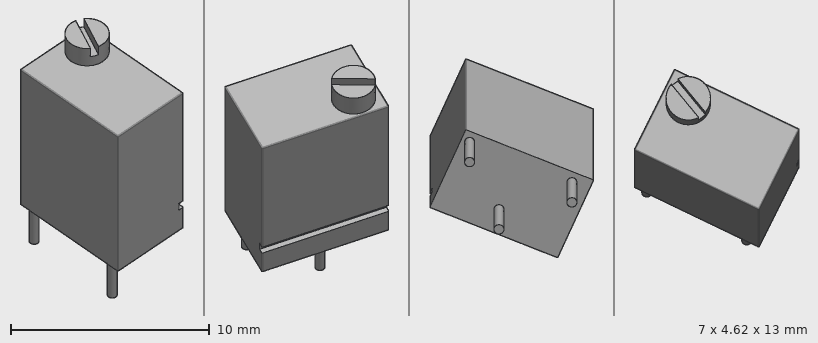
import cadquery as cq

TOTAL_HEIGHT = 13.01

HOUSING_LENGTH = 7.0
HOUSING_WIDTH = 4.62
HOUSING_HEIGHT = 9.24
EDGE_RADIUS = 0.05

GROOVE_HEIGHT = 0.44
GROOVE_DEPTH = 0.3
GROOVE_BOTTOM = 1.39

PIN_DIAMETER = 0.51
PIN_LENGTH = 2.59
PIN_PITCH = 2.8
PIN_ROW_SHIFT = 0.26
FRONT_PIN_INSET = 0.55

SCREW_DIAMETER = 2.24
SCREW_HEIGHT = TOTAL_HEIGHT - PIN_LENGTH - HOUSING_HEIGHT
SCREW_INSET_X = 1.39
SCREW_INSET_Y = 1.26
SLOT_WIDTH = 0.43
SLOT_DEPTH = 0.56
SLOT_ANGLE = -25.0


def make_housing():
    """Box with rounded top and upright edges, grooved across its +Y face."""
    block = (
        cq.Workplane("XY")
        .box(HOUSING_LENGTH, HOUSING_WIDTH, HOUSING_HEIGHT, centered=(True, True, False))
        .edges("|Z or >Z")
        .fillet(EDGE_RADIUS)
    )
    groove = (
        cq.Workplane("XY")
        .box(HOUSING_LENGTH, GROOVE_DEPTH, GROOVE_HEIGHT, centered=(True, False, False))
        .translate((0, HOUSING_WIDTH / 2 - GROOVE_DEPTH, GROOVE_BOTTOM))
    )
    return block.cut(groove)


def make_screw():
    """Cylindrical screw head standing on the housing, slotted across its top."""
    head = cq.Workplane("XY").circle(SCREW_DIAMETER / 2).extrude(SCREW_HEIGHT)
    slot = (
        cq.Workplane("XY")
        .workplane(offset=SCREW_HEIGHT - SLOT_DEPTH)
        .rect(SCREW_DIAMETER, SLOT_WIDTH)
        .extrude(SLOT_DEPTH)
        .rotate((0, 0, 0), (0, 0, 1), SLOT_ANGLE)
    )
    axis_x = -HOUSING_LENGTH / 2 + SCREW_INSET_X
    axis_y = HOUSING_WIDTH / 2 - SCREW_INSET_Y
    return head.cut(slot).translate((axis_x, axis_y, HOUSING_HEIGHT))


def make_pin(x, y):
    """Round pin hanging from the underside of the housing."""
    return cq.Workplane("XY").center(x, y).circle(PIN_DIAMETER / 2).extrude(-PIN_LENGTH)


def pin_positions():
    """Outer pins in the front row; the middle pin one pitch further back."""
    front_y = -HOUSING_WIDTH / 2 + FRONT_PIN_INSET
    back_y = front_y + PIN_PITCH
    return [
        (-PIN_ROW_SHIFT - PIN_PITCH, front_y),
        (-PIN_ROW_SHIFT, back_y),
        (-PIN_ROW_SHIFT + PIN_PITCH, front_y),
    ]


housing = make_housing()
screw = make_screw()
pins = [make_pin(x, y) for x, y in pin_positions()]

result = cq.Compound.makeCompound([housing.val(), screw.val(), *[pin.val() for pin in pins]])